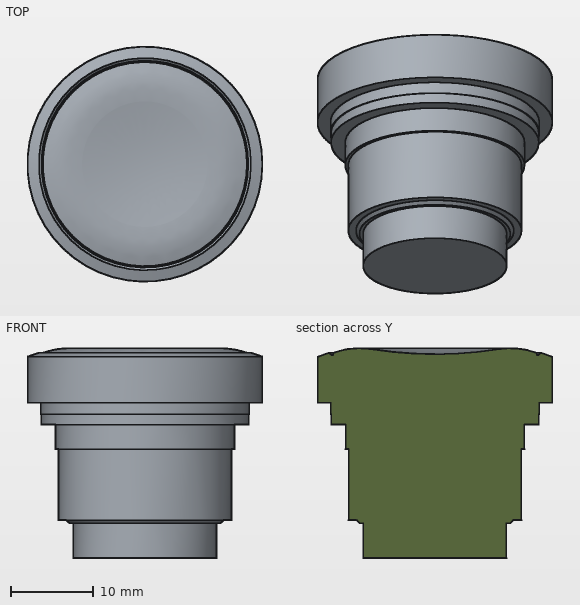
import cadquery as cq

tip_diameter = 17.4
chamfer_small_diameter = 18.3
chamfer_large_diameter = 19.15
body_diameter = 21.0
neck_diameter = 21.75
lower_collar_diameter = 25.2
upper_collar_diameter = 25.35
head_diameter = 28.5

tip_top = 4.22
body_bottom = 4.62
body_top = 13.22
neck_top = 16.2
lower_collar_top = 17.4
head_bottom = 18.8
head_edge = 24.42
overall_height = 25.45

rim_inner_diameter = 25.7
rim_inner_height = 24.9
groove_floor_diameter = 25.08
groove_depth = 0.28

cap_diameter = 24.7
cap_edge_height = 24.9
crest_diameter = 18.25
dimple_diameter = 15.22
dimple_edge_height = 25.35
dimple_depth = 0.6


def stepped_stem():
    """Coaxial cylinders below the head, with a small chamfered shoulder."""
    steps = [
        (tip_diameter, 0, tip_top),
        (body_diameter, body_bottom, body_top),
        (neck_diameter, body_top, neck_top),
        (lower_collar_diameter, neck_top, lower_collar_top),
        (upper_collar_diameter, lower_collar_top, head_bottom),
    ]
    shoulder = (
        cq.Workplane("XY")
        .workplane(offset=tip_top)
        .circle(chamfer_small_diameter / 2)
        .workplane(offset=body_bottom - tip_top)
        .circle(chamfer_large_diameter / 2)
        .loft(ruled=True)
    )
    stem = shoulder
    for diameter, bottom, top in steps:
        step = cq.Workplane("XY").workplane(offset=bottom).circle(diameter / 2).extrude(top - bottom)
        stem = stem.union(step)
    return stem


def head():
    """Revolved head with sloped rim, groove, rounded cap and central dimple."""
    groove_floor = rim_inner_height - groove_depth
    dimple_bottom = dimple_edge_height - dimple_depth
    dimple_radius = dimple_diameter / 2
    sphere_radius = (dimple_radius**2 + dimple_depth**2) / (2 * dimple_depth)
    sphere_centre = dimple_bottom + sphere_radius
    middle_x = dimple_radius / 2
    middle_z = sphere_centre - (sphere_radius**2 - middle_x**2) ** 0.5

    profile = (
        cq.Workplane("XZ")
        .moveTo(0, head_bottom)
        .lineTo(head_diameter / 2, head_bottom)
        .lineTo(head_diameter / 2, head_edge)
        .lineTo(rim_inner_diameter / 2, rim_inner_height)
        .lineTo(groove_floor_diameter / 2, groove_floor)
        .lineTo(cap_diameter / 2, groove_floor)
        .lineTo(cap_diameter / 2, cap_edge_height)
        .threePointArc((crest_diameter / 2, overall_height), (dimple_radius, dimple_edge_height))
        .threePointArc((middle_x, middle_z), (0, dimple_bottom))
        .close()
    )
    return profile.revolve(360, (0, 0, 0), (0, 1, 0))


result = stepped_stem().union(head())